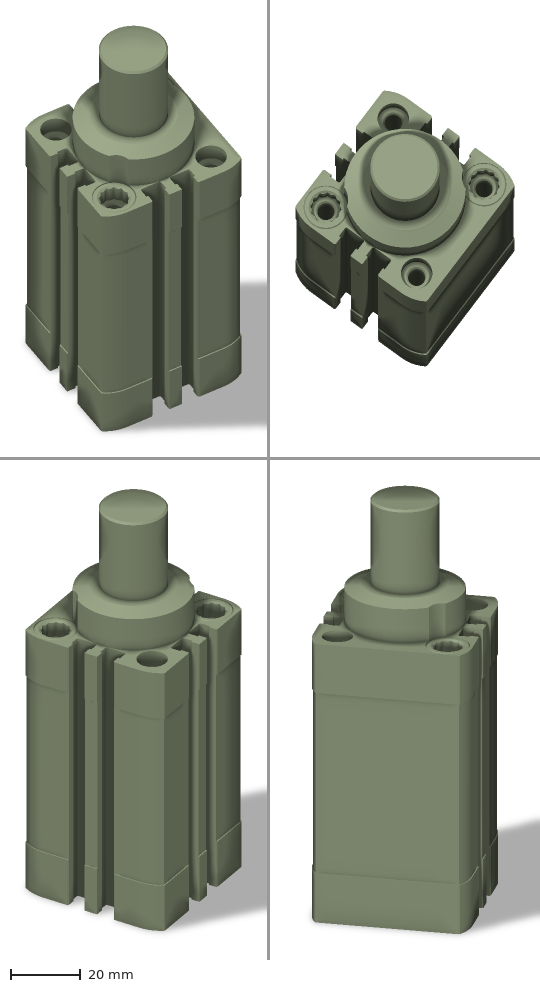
import math

import cadquery as cq

total_height = 124.0
block_height = 86.0
collar_height = 12.0

block_width = 47.0
half_width = block_width / 2
end_height = 15.1
middle_inset = 0.4
bolt_offset = 16.2
corner_radius = 12.6
corner_bevel = 0.2

slot_depth = 6.1
lip_depth = 2.7
mouth_half_width = 7.6
pocket_half_width = 8.2
rib_head_half_width = 2.1
rib_stem_half_width = 1.5
edge_bevel = 0.4
slot_fillet = 0.5

collar_diameter = 35.0
collar_top_diameter = 25.4
collar_bevel_height = 1.6
rod_diameter = 20.0
rod_chamfer = 0.6

through_diameter = 5.0
through_rim_diameter = 6.0
counterbore_diameter = 9.0
counterbore_depth = 5.1

insert_diameter = 12.8
insert_bevel = 0.4
bore_points = 12
bore_point_diameter = 9.0
bore_valley_diameter = 8.2
insert_rim_diameter = 9.9
insert_throat_diameter = 8.5
insert_rim_depth = 0.5

plain_corners = [(bolt_offset, bolt_offset), (-bolt_offset, -bolt_offset)]
insert_corners = [(bolt_offset, -bolt_offset), (-bolt_offset, bolt_offset)]

collar_top = block_height + collar_height
bore_floor = block_height - counterbore_depth


def cone(bottom_diameter, top_diameter, height, bottom_z):
    """Cone frustum standing on the Z axis."""
    base = cq.Vector(0, 0, bottom_z)
    return cq.Workplane(cq.Solid.makeCone(bottom_diameter / 2, top_diameter / 2, height, base))


def cylinder(diameter, bottom_z, top_z):
    """Cylinder standing on the Z axis."""
    return cq.Workplane().workplane(offset=bottom_z).circle(diameter / 2).extrude(top_z - bottom_z)


def block_layer(inset, bottom_z, top_z):
    """Slice of the block, set in from the full outline, with X faces that curve in towards the corners."""
    side = half_width - inset
    arc_radius = corner_radius - inset
    arc_angle = math.asin((side - bolt_offset) / arc_radius)
    arc_center_x = side - arc_radius
    corner_x = arc_center_x + arc_radius * math.cos(arc_angle)
    middle_x = arc_center_x + arc_radius * math.cos(arc_angle / 2)
    middle_y = bolt_offset + arc_radius * math.sin(arc_angle / 2)
    return (
        cq.Workplane()
        .workplane(offset=bottom_z)
        .moveTo(side, -bolt_offset)
        .lineTo(side, bolt_offset)
        .threePointArc((middle_x, middle_y), (corner_x, side))
        .lineTo(-corner_x, side)
        .threePointArc((-middle_x, middle_y), (-side, bolt_offset))
        .lineTo(-side, -bolt_offset)
        .threePointArc((-middle_x, -middle_y), (-corner_x, -side))
        .lineTo(corner_x, -side)
        .threePointArc((middle_x, -middle_y), (side, -bolt_offset))
        .close()
        .extrude(top_z - bottom_z)
    )


def block_end(bottom_z):
    """End of the block, with its four upright corners bevelled."""
    layer = block_layer(0, bottom_z, bottom_z + end_height)
    corner_edges = layer.faces("<Y or >Y").edges("|Z")
    return corner_edges.chamfer(corner_bevel)


def block():
    """Two full-size ends joined by a slightly smaller middle."""
    middle = block_layer(middle_inset, end_height, block_height - end_height)
    return block_end(0).union(middle).union(block_end(block_height - end_height))


def slot_half():
    """One half of the -Y slot, on the +X side of its rib."""
    face_y = -half_width
    lip_y = face_y + lip_depth
    floor_y = face_y + slot_depth
    outline = [
        (rib_head_half_width, face_y),
        (mouth_half_width + edge_bevel, face_y),
        (mouth_half_width, face_y + edge_bevel),
        (mouth_half_width, lip_y),
        (pocket_half_width, lip_y),
        (pocket_half_width, floor_y),
        (rib_stem_half_width, floor_y),
        (rib_stem_half_width, lip_y),
        (rib_head_half_width, lip_y),
    ]
    half = cq.Workplane().polyline(outline).close().extrude(block_height)
    return half.edges("|Z").edges(">Y").fillet(slot_fillet)


def cut_slots(body):
    """Cut a slot into the -X, -Y and +X faces."""
    right_half = slot_half()
    left_half = right_half.mirror("YZ")
    for angle in (-90, 0, 90):
        for half in (right_half, left_half):
            body = body.cut(half.rotate((0, 0, 0), (0, 0, 1), angle))
    return body


def collar():
    """Round collar with a sloped top edge."""
    straight_top = collar_top - collar_bevel_height
    sloped_top = cone(collar_diameter, collar_top_diameter, collar_bevel_height, straight_top)
    return cylinder(collar_diameter, block_height, straight_top).union(sloped_top)


def bolt_hole():
    """Through hole, flared where it meets the wider bore above it."""
    rim_depth = (through_rim_diameter - through_diameter) / 2
    flare = cone(through_diameter, through_rim_diameter, rim_depth, bore_floor - rim_depth)
    return cylinder(through_diameter, 0, bore_floor).union(flare)


def counterbored_hole():
    return bolt_hole().union(cylinder(counterbore_diameter, bore_floor, block_height))


def pointed_bore():
    """Bore with a twelve-point star section."""
    outline = []
    for i in range(2 * bore_points):
        radius = (bore_valley_diameter if i % 2 else bore_point_diameter) / 2
        angle = math.pi * i / bore_points
        outline.append((radius * math.cos(angle), radius * math.sin(angle)))
    return cq.Workplane().workplane(offset=bore_floor).polyline(outline).close().extrude(counterbore_depth)


def insert_hole():
    """Bolt hole with a star bore, a V groove around it and clearance through the collar above."""
    groove_z = block_height - insert_bevel
    groove_plug = cone(insert_diameter, insert_diameter - 2 * insert_bevel, insert_bevel, groove_z)
    groove = cylinder(insert_diameter, groove_z, block_height).cut(groove_plug)
    rim = cone(insert_throat_diameter, insert_rim_diameter, insert_rim_depth, block_height - insert_rim_depth)
    clearance = cylinder(insert_diameter, block_height, collar_top)
    return bolt_hole().union(pointed_bore()).union(rim).union(groove).union(clearance)


def make_rod():
    """Rod seated in the collar down to the top of the block."""
    return cylinder(rod_diameter, block_height, total_height).faces(">Z").chamfer(rod_chamfer)


def make_housing(rod):
    """Slotted block and collar with their holes and the rod's seat."""
    body = cut_slots(block()).union(collar())
    for x, y in plain_corners:
        body = body.cut(counterbored_hole().translate((x, y, 0)))
    for x, y in insert_corners:
        body = body.cut(insert_hole().translate((x, y, 0)))
    return body.cut(rod)


rod = make_rod()
housing = make_housing(rod)
result = cq.Compound.makeCompound([housing.val(), rod.val()])